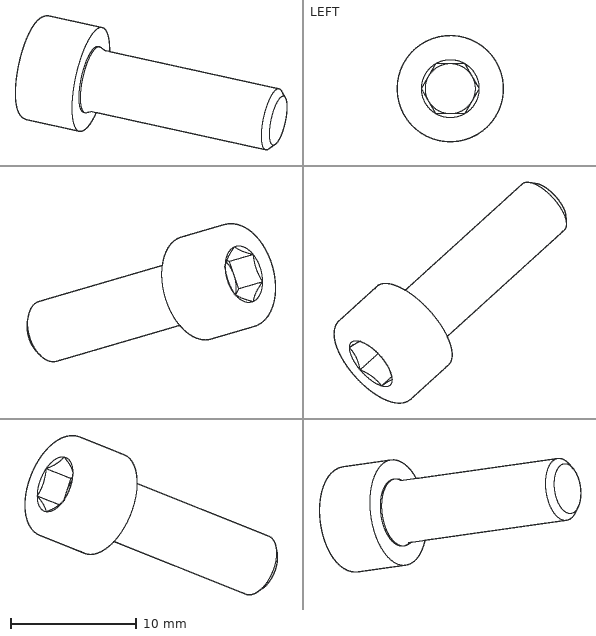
import cadquery as cq
import math

thread_diameter = 5.0
shank_length = 16.0
tip_chamfer = 0.5

head_diameter = 8.5
head_height = thread_diameter
head_fillet = 0.5

neck_diameter = 5.4
neck_land_length = 0.13
neck_cone_length = 0.43
neck_blend_radius = 0.12

hex_across_flats = 4.0
hex_depth = 2.5
lead_in_half_angle = 60.0
drill_point_half_angle = 60.0

shank_radius = thread_diameter / 2
head_radius = head_diameter / 2
neck_radius = neck_diameter / 2
total_length = head_height + shank_length
neck_end_x = head_height + neck_land_length + neck_cone_length
neck_cone_angle = math.atan((neck_radius - shank_radius) / neck_cone_length)
hex_inradius = hex_across_flats / 2
hex_circumradius = hex_inradius / math.cos(math.radians(30))


def inward_cone(radius, half_angle, start_x):
    """Cone with its base at start_x and its apex further along +X."""
    height = radius / math.tan(math.radians(half_angle))
    base_centre = cq.Vector(start_x, 0, 0)
    axis = cq.Vector(1, 0, 0)
    return cq.Workplane(obj=cq.Solid.makeCone(radius, 0, height, base_centre, axis))


def screw_body():
    """Head, neck and shank turned in one piece about the X axis."""
    fillet_mid = head_fillet * (1 - math.sqrt(0.5))
    blend_centre_x = neck_end_x + neck_blend_radius * math.tan(neck_cone_angle / 2)
    blend_start, blend_mid, blend_end = [
        (
            blend_centre_x - neck_blend_radius * math.sin(angle),
            shank_radius + neck_blend_radius * (1 - math.cos(angle)),
        )
        for angle in (neck_cone_angle, neck_cone_angle / 2, 0)
    ]
    return (
        cq.Workplane("XY")
        .moveTo(0, 0)
        .lineTo(0, head_radius - head_fillet)
        .threePointArc((fillet_mid, head_radius - fillet_mid), (head_fillet, head_radius))
        .lineTo(head_height, head_radius)
        .lineTo(head_height, neck_radius)
        .lineTo(head_height + neck_land_length, neck_radius)
        .lineTo(*blend_start)
        .threePointArc(blend_mid, blend_end)
        .lineTo(total_length - tip_chamfer, shank_radius)
        .lineTo(total_length, shank_radius - tip_chamfer)
        .lineTo(total_length, 0)
        .close()
        .revolve(360, (0, 0, 0), (1, 0, 0))
    )


def hex_socket():
    """Hexagonal prism with two corners on the Y axis, plus both cones."""
    prism = cq.Workplane("YZ").polygon(6, 2 * hex_circumradius).extrude(hex_depth)
    lead_in = inward_cone(hex_circumradius, lead_in_half_angle, 0)
    drill_point = inward_cone(hex_inradius, drill_point_half_angle, hex_depth)
    return prism.union(lead_in).union(drill_point)


result = screw_body().cut(hex_socket())